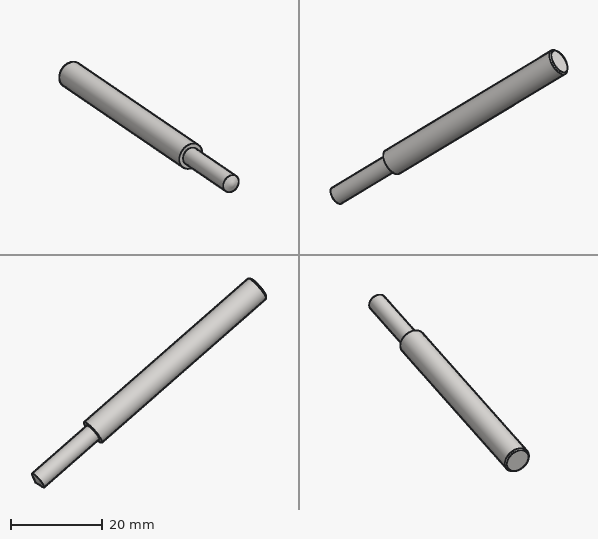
import cadquery as cq
import math

total_length = 66.0
body_length = 49.0
body_radius = 6.0 / 2
shank_radius = 4.1 / 2
end_chamfer = 0.3
point_angle = 140.0

point_length = shank_radius / math.tan(math.radians(point_angle / 2))
shank_end = total_length / 2 - point_length
body_start = -total_length / 2
body_end = body_start + body_length

half_profile = (
    cq.Workplane("XY")
    .moveTo(body_start, 0)
    .lineTo(body_start, body_radius - end_chamfer)
    .lineTo(body_start + end_chamfer, body_radius)
    .lineTo(body_end, body_radius)
    .lineTo(body_end, shank_radius)
    .lineTo(shank_end, shank_radius)
    .lineTo(total_length / 2, 0)
    .close()
)

result = half_profile.revolve(360, (0, 0, 0), (1, 0, 0))